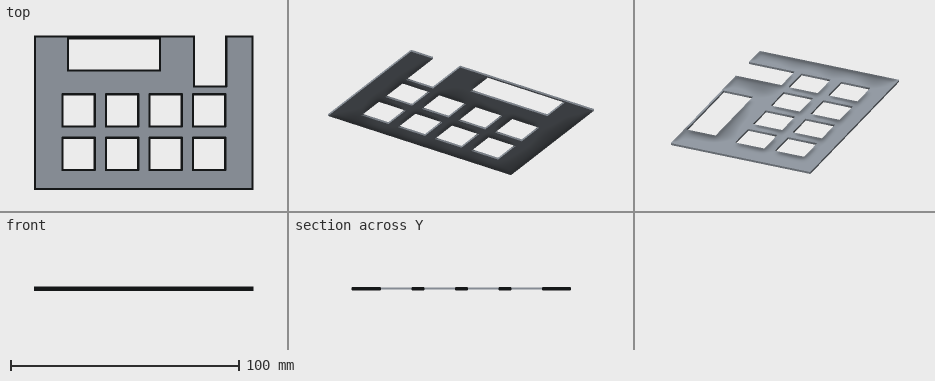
import cadquery as cq

plate_length = 95.4
plate_width = 67.0
plate_thickness = 1.0

key_size = 14.0
key_pitch = 19.1
key_columns = 4
key_rows = 2
keys_left = 12.1
keys_bottom = 8.4

window_left = 14.6
window_length = 40.2
window_width = 14.0
window_back_margin = 1.0

notch_left = 69.8
notch_width = 14.0
notch_depth = 21.9


def plate_block(left, bottom, length, width):
    """Full-thickness block placed by its lower left corner."""
    block = cq.Workplane("XY").box(length, width, plate_thickness, centered=False)
    return block.translate((left, bottom, 0))


result = plate_block(0, 0, plate_length, plate_width)

for column in range(key_columns):
    for row in range(key_rows):
        key_left = keys_left + column * key_pitch
        key_bottom = keys_bottom + row * key_pitch
        result = result.cut(plate_block(key_left, key_bottom, key_size, key_size))

window_bottom = plate_width - window_back_margin - window_width
result = result.cut(plate_block(window_left, window_bottom, window_length, window_width))

notch_bottom = plate_width - notch_depth
result = result.cut(plate_block(notch_left, notch_bottom, notch_width, notch_depth))